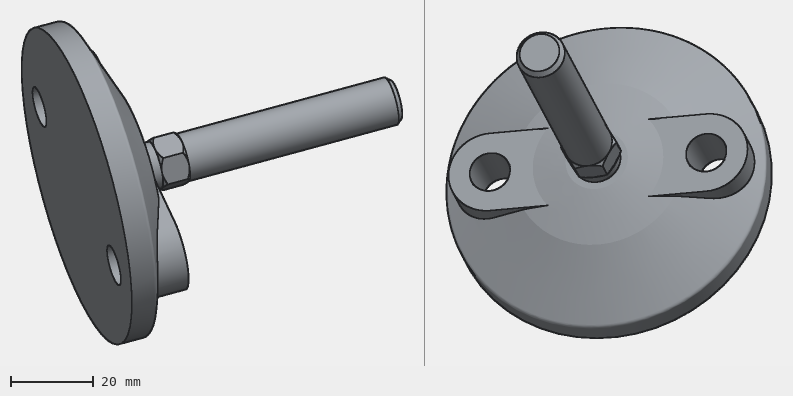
import cadquery as cq
import math

overall_length = 82.0

base_diameter = 79.5
base_radius = base_diameter / 2
cone_foot_height = 6.5
cone_top_radius = 21.3
cone_top_height = 14.4
crown_radius = 7.7
crown_height = 17.1
dome_bulge = 0.2
rim_fillet = 1.0

boss_offset = 26.8
boss_radius = 10.25
boss_height = 15.6
bolt_hole_radius = 5.0

spindle_radius = 6.0
tip_radius = 4.9
tip_length = 1.3
neck_radius = 5.9
hex_start = 20.1
hex_length = 7.0
hex_end = hex_start + hex_length
hex_across_flats = 2 * spindle_radius
hex_across_corners = hex_across_flats / math.cos(math.pi / 6)


def plane_at(height, x=0):
    """Workplane square to Y, facing away from the sole."""
    return cq.Workplane(cq.Plane(origin=(x, height, 0), xDir=(1, 0, 0), normal=(0, 1, 0)))


def cylinder(radius, start, end, x=0):
    """Cylinder parallel to Y between two heights, at a given X."""
    return plane_at(start, x).circle(radius).extrude(end - start)


def revolve_about_axis(profile):
    """Turn a closed (radius, height) profile about the Y axis."""
    return profile.close().revolve(360, (0, 0, 0), (0, 1, 0))


def make_boss_bar():
    """Bar along X whose ends are concentric with the bolt holes."""
    bar_length = 2 * (boss_offset + boss_radius)
    return plane_at(0).slot2D(bar_length, 2 * boss_radius).extrude(boss_height)


def make_base():
    run = cone_top_radius - crown_radius
    rise = crown_height - cone_top_height
    chord = math.hypot(run, rise)
    dome_middle = (
        (cone_top_radius + crown_radius) / 2 + dome_bulge * rise / chord,
        (cone_top_height + crown_height) / 2 + dome_bulge * run / chord,
    )
    profile = (
        cq.Workplane("XY")
        .lineTo(base_radius, 0)
        .lineTo(base_radius, cone_foot_height)
        .lineTo(cone_top_radius, cone_top_height)
        .threePointArc(dome_middle, (crown_radius, crown_height))
        .lineTo(0, crown_height)
    )
    base = revolve_about_axis(profile)
    rim_centre = (0, cone_foot_height, 0)
    base = base.edges("%CIRCLE").edges(cq.selectors.NearestToPointSelector(rim_centre)).fillet(rim_fillet)

    base = base.union(make_boss_bar())
    for x in (-boss_offset, boss_offset):
        base = base.cut(cylinder(bolt_hole_radius, 0, boss_height, x))
    return base


def make_hexagon():
    """Hexagon with corners on X, both ends turned down at 45 degrees to the flats."""
    prism = plane_at(hex_start).polygon(6, hex_across_corners).extrude(hex_length)
    corner_radius = hex_across_corners / 2
    corner_chamfer = corner_radius - spindle_radius
    envelope = cylinder(corner_radius, hex_start, hex_end).edges("%CIRCLE").chamfer(corner_chamfer)
    return prism.intersect(envelope)


def make_spindle():
    neck = cylinder(neck_radius, crown_height, hex_start)
    rod_profile = (
        cq.Workplane("XY")
        .moveTo(0, hex_end)
        .lineTo(spindle_radius, hex_end)
        .lineTo(spindle_radius, overall_length - tip_length)
        .lineTo(tip_radius, overall_length)
        .lineTo(0, overall_length)
    )
    return neck.union(make_hexagon()).union(revolve_about_axis(rod_profile))


base = make_base()
spindle = make_spindle()

result = cq.Compound.makeCompound([*base.solids().vals(), *spindle.solids().vals()])